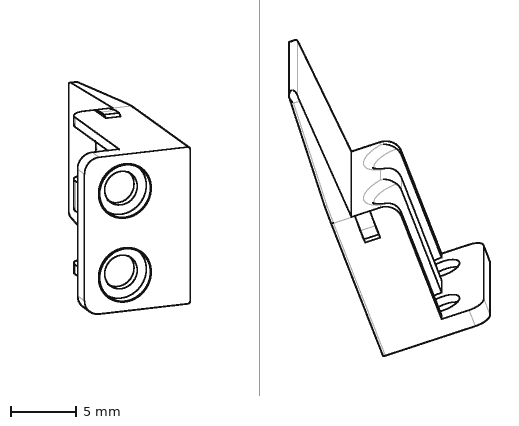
import cadquery as cq
import math

length = 22.8
pad_height = 0.07
body_end = length - pad_height
block_start = 10.9
block_depth = 5.31
block_height = 12.59
nose_radius = 1.28

flange_thickness = 1.44
flange_depth = 8.75
flange_corner_radius = 1.2
flange_start = body_end - flange_thickness

channel_spacing = 6.73
channel_y = -5.43
channel_radius = 2.17
mouth_radius = 0.62
hole_radius = 1.35
hole_land = 0.65
counterbore_radius = 2.1
channel_centers = [(channel_y, side * channel_spacing / 2) for side in (-1, 1)]

tongue_back_break = 9.45
tongue_root_depth = 1.69
tip_back = 0.4
tip_front = 1.05
tip_height = 10.67
tip_corner_radius = 0.82
back_edge_radius = 0.2

height_over_bumps = 12.95
bump_height = (height_over_bumps - block_height) / 2
bump_ramp_end = 12.1
bump_flat_end = 12.9
bump_end = 13.27
bump_back = 1.95
bump_width = 1.23


def make_block():
    """Block with a rounded front nose and rounded back side edges."""
    block = (
        cq.Workplane("XY")
        .box(body_end - block_start, block_depth, block_height, centered=(False, False, True))
        .translate((block_start, -block_depth, 0))
    )
    block = block.edges("<X and <Y").fillet(nose_radius)
    return block.faces(">Y").edges("|X").fillet(back_edge_radius)


def make_flange():
    """Plate across the end, with its two free corners rounded."""
    flange = (
        cq.Workplane("XY")
        .box(flange_thickness, flange_depth, block_height, centered=(False, False, True))
        .translate((flange_start, -flange_depth, 0))
    )
    flange = flange.edges("|X and <Y").fillet(flange_corner_radius)
    return flange.faces(">Y").edges("|X").fillet(back_edge_radius)


def make_tongue():
    """Tongue that tapers in thickness and in height towards a fully rounded tip."""
    back_slope = tip_back / tongue_back_break
    front_slope = (tongue_root_depth - tip_front) / block_start
    back_angle = math.atan(back_slope)
    front_angle = math.atan(front_slope)

    tip_radius = (tip_front - tip_back) / (
        1 / math.cos(back_angle) + 1 / math.cos(front_angle) - back_slope - front_slope
    )
    tip_y = -tip_back + tip_radius * (back_slope - 1 / math.cos(back_angle))
    back_tangent = (
        tip_radius * (1 - math.sin(back_angle)),
        tip_y + tip_radius * math.cos(back_angle),
    )
    front_tangent = (
        tip_radius * (1 - math.sin(front_angle)),
        tip_y - tip_radius * math.cos(front_angle),
    )

    def extrude_profile(profile):
        return profile.close().extrude(block_height / 2, both=True)

    root_points = [(tongue_back_break, 0), (block_start, 0), (block_start, -tongue_root_depth)]
    sharp_wedge = extrude_profile(
        cq.Workplane("XY").polyline([(0, -tip_back), *root_points, (0, -tip_front)])
    )
    round_wedge = extrude_profile(
        cq.Workplane("XY")
        .polyline([back_tangent, *root_points, front_tangent])
        .threePointArc((0, tip_y), back_tangent)
    )
    outline = [
        (0, -tip_height / 2),
        (block_start, -block_height / 2),
        (block_start, block_height / 2),
        (0, tip_height / 2),
    ]
    plan = cq.Workplane("XZ").polyline(outline).close().extrude(flange_depth, both=True)
    rounded_plan = plan.edges("|Y and <X").fillet(tip_corner_radius)

    tongue = sharp_wedge.intersect(plan)
    slope_normal = cq.Vector(-back_slope, 1, 0)
    slope_selector = cq.selectors.ParallelDirSelector(slope_normal, 0.001)
    back_faces = tongue.faces(">Y").add(tongue.faces(slope_selector))
    tongue = back_faces.edges("not |Z").fillet(back_edge_radius)
    return tongue.intersect(round_wedge).intersect(rounded_plan)


def make_bump():
    """Ramped snap bump on the +Z side."""
    base = block_height / 2
    profile = [
        (block_start, base - bump_height),
        (block_start, base),
        (bump_ramp_end, base + bump_height),
        (bump_flat_end, base + bump_height),
        (bump_end, base),
        (bump_end, base - bump_height),
    ]
    return (
        cq.Workplane("XZ", origin=(0, -bump_back, 0))
        .polyline(profile).close().extrude(bump_width)
    )


def make_channel_cutter():
    """Round channel whose mouth flares out with a rounded lip; its axis is X."""
    mouth_end = block_start + mouth_radius
    bend = mouth_radius * (1 - math.sqrt(0.5))
    return (
        cq.Workplane("XY")
        .moveTo(block_start, 0)
        .lineTo(block_start, channel_radius + mouth_radius)
        .threePointArc((block_start + bend, channel_radius + bend), (mouth_end, channel_radius))
        .lineTo(flange_start, channel_radius)
        .lineTo(flange_start, 0)
        .close()
        .revolve(360, (0, 0, 0), (1, 0, 0))
    )


def make_round_posts(radius, start):
    """Pair of cylinders in line with the channels, from X = start to the far end of the part."""
    return (
        cq.Workplane("YZ", origin=(start, 0, 0))
        .pushPoints(channel_centers).circle(radius).extrude(length - start)
    )


bump = make_bump()
result = make_block().union(make_flange()).union(make_tongue())
result = result.union(bump).union(bump.mirror("XY"))

channel_cutter = make_channel_cutter()
for center_y, center_z in channel_centers:
    result = result.cut(channel_cutter.translate((0, center_y, center_z)))

result = result.union(make_round_posts(channel_radius, flange_start))
result = result.cut(make_round_posts(hole_radius, flange_start))
result = result.cut(make_round_posts(counterbore_radius, flange_start + hole_land))